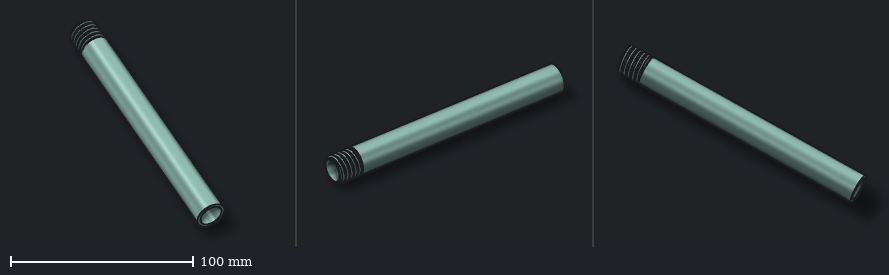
import cadquery as cq

length = 150.0
tube_diameter = 17.0
bore_diameter = 13.0

neck_length = 14.5
root_diameter = 14.5
crest_diameter = 17.1
pitch = 2.7
turns = 5
ridge_start = 0.2
ridge_width = 1.5
root_overlap = 0.2


def cylinder(diameter, start, end):
    """Solid cylinder on the X axis."""
    return cq.Workplane("YZ").workplane(offset=start).circle(diameter / 2).extrude(end - start)


def thread_ridge():
    """Helical ridge of round-crested section, trimmed flush at the shoulder."""
    foot_radius = root_diameter / 2 - root_overlap
    crest_radius = crest_diameter / 2
    side_radius = crest_radius - ridge_width / 2
    ridge_middle = ridge_start + ridge_width / 2
    ridge_end = ridge_start + ridge_width

    section = (
        cq.Workplane("XY")
        .moveTo(ridge_start, foot_radius)
        .lineTo(ridge_start, side_radius)
        .threePointArc((ridge_middle, crest_radius), (ridge_end, side_radius))
        .lineTo(ridge_end, foot_radius)
        .close()
    )
    helix = cq.Wire.makeHelix(pitch, pitch * turns, crest_radius)
    path = cq.Workplane(helix.moved(cq.Location(cq.Plane.named("YZ"))))
    ridge = section.sweep(path, isFrenet=True)

    trim_diameter = 2 * crest_diameter
    beyond_shoulder = cylinder(trim_diameter, neck_length, neck_length + pitch)
    return ridge.cut(beyond_shoulder)


neck = cylinder(root_diameter, 0, neck_length)
body = cylinder(tube_diameter, neck_length, length)
bore = cylinder(bore_diameter, 0, length)

result = neck.union(body).cut(bore).union(thread_ridge())